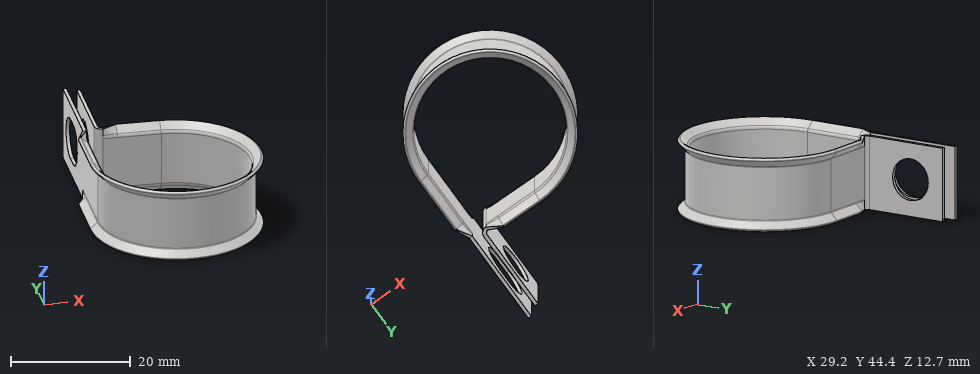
import cadquery as cq
import math


thickness = 0.65
strip_width = 12.7
bore_radius = 12.7
loop_start = 180
loop_sweep = 270
flare_radius = 14.615
flare_angle = math.radians(45)
root_radius = 0.2
lip_rounding = 0.1

transition_length = 2.5
long_tab_start = 12.7
flat_start = -9.95

long_tab_end = 29.745
short_tab_end = 28.65
tab_gap = 1.5

hole_diameter = 7.14
hole_y = 22.2
slot_length = 9.55

outer_radius = bore_radius + thickness
half_width = strip_width / 2
long_flare_end = long_tab_start - transition_length
short_flare_end = flat_start + transition_length
short_tab_x = -bore_radius + tab_gap
bend_outer_radius = flat_start - short_tab_x
bend_inner_radius = bend_outer_radius - thickness


def shifted(point, angle, distance):
    return (point[0] + distance * math.cos(angle), point[1] + distance * math.sin(angle))


inward = math.pi - flare_angle
lip_direction = math.pi / 2 - flare_angle
outward = -flare_angle

center_spacing = thickness - 2 * lip_rounding
tip_center = (
    flare_radius - lip_rounding,
    half_width - lip_rounding - center_spacing * math.sin(inward),
)
top_center = shifted(tip_center, inward, center_spacing)
bend_x = outer_radius + root_radius
lip_reach = (tip_center[0] - bend_x) * math.cos(flare_angle)
bend_drop = (lip_rounding + root_radius + lip_reach) / math.sin(flare_angle)
flare_start_z = tip_center[1] - bend_drop
bend_center = (bend_x, flare_start_z)


def add_arc(outline, center, radius, start_angle, end_angle):
    """Line to the start of an arc about center, then follow the arc."""
    middle_angle = (start_angle + end_angle) / 2
    return outline.lineTo(*shifted(center, start_angle, radius)).threePointArc(
        shifted(center, middle_angle, radius), shifted(center, end_angle, radius)
    )


def rim_profile(workplane):
    """Flared edge: a bend, then a straight lip with rounded corners."""
    outline = workplane.moveTo(outer_radius, flare_start_z)
    outline = add_arc(outline, bend_center, root_radius + thickness, math.pi, inward)
    outline = add_arc(outline, top_center, lip_rounding, inward, lip_direction)
    outline = add_arc(outline, tip_center, lip_rounding, lip_direction, outward)
    outline = outline.lineTo(*shifted(bend_center, inward, root_radius))
    outline = outline.threePointArc(
        shifted(bend_center, (inward + math.pi) / 2, root_radius), (outer_radius, flare_start_z)
    )
    return outline.close()


def flat_profile(workplane):
    """Unflared edge, split into as many pieces as the flared one."""
    inner_bend_end = shifted(bend_center, inward, root_radius + thickness)
    outer_bend_end = shifted(bend_center, inward, root_radius)
    return (
        workplane.moveTo(outer_radius, flare_start_z)
        .lineTo(bore_radius, flare_start_z)
        .lineTo(bore_radius, inner_bend_end[1])
        .lineTo(bore_radius, half_width - lip_rounding)
        .lineTo(bore_radius, half_width)
        .lineTo(outer_radius, half_width)
        .lineTo(outer_radius, half_width - lip_rounding)
        .lineTo(outer_radius, outer_bend_end[1])
        .close()
    )


def straight_rim(flare_end, flat_position):
    """Rim along +Y: full flare up to flare_end, fading to flat at flat_position.

    The profile lies at positive X.
    """
    section = cq.Workplane("XZ")
    flared = rim_profile(section).extrude(-flare_end)
    fade_start = section.workplane(offset=-flare_end)
    fade = flat_profile(
        rim_profile(fade_start).workplane(offset=flare_end - flat_position)
    ).loft(ruled=True)
    return flared.union(fade)


def both_edges(upper):
    return upper.union(upper.mirror("XY"))


def block(x_min, x_max, y_min, y_max, half_height):
    """Box between two corners, symmetric about Z = 0."""
    size = (x_max - x_min, y_max - y_min, 2 * half_height)
    return cq.Workplane("XY").box(*size, centered=(False, False, True)).translate((x_min, y_min, 0))


def loop():
    """Three quarters of a turn, from -X through -Y and +X to +Y."""
    section = cq.Workplane("XZ")
    rims = both_edges(rim_profile(section).revolve(loop_sweep, (0, 0, 0), (0, 1, 0)))
    web = (
        section.pushPoints([(bore_radius + thickness / 2, 0)])
        .rect(thickness, 2 * flare_start_z)
        .revolve(loop_sweep, (0, 0, 0), (0, 1, 0))
    )
    return rims.union(web).rotate((0, 0, 0), (0, 0, 1), loop_start)


def long_side():
    """Straight run up the -X side, ending in the slotted tab."""
    rims = both_edges(straight_rim(long_flare_end, long_tab_start).mirror("YZ"))
    web = block(-outer_radius, -bore_radius, 0, long_tab_start, flare_start_z)
    tab = block(-outer_radius, -bore_radius, long_tab_start, long_tab_end, half_width)
    slot = (
        cq.Workplane("YZ", origin=(-bore_radius, hole_y, 0))
        .slot2D(slot_length, hole_diameter)
        .extrude(-thickness)
    )
    return rims.union(web).union(tab).cut(slot)


def short_side():
    """Straight run along the +Y side, bent up into the drilled tab."""
    rims = both_edges(
        straight_rim(-short_flare_end, -flat_start).rotate((0, 0, 0), (0, 0, 1), 90)
    )
    web = block(flat_start, 0, bore_radius, outer_radius, flare_start_z)
    bend_end_y = bore_radius + bend_outer_radius
    diagonal = math.radians(225)
    center = (flat_start, bend_end_y)
    tab = (
        cq.Workplane("XY")
        .workplane(offset=-half_width)
        .moveTo(flat_start, bore_radius)
        .threePointArc(shifted(center, diagonal, bend_outer_radius), (short_tab_x, bend_end_y))
        .lineTo(short_tab_x, short_tab_end)
        .lineTo(short_tab_x + thickness, short_tab_end)
        .lineTo(short_tab_x + thickness, bend_end_y)
        .threePointArc(shifted(center, diagonal, bend_inner_radius), (flat_start, outer_radius))
        .close()
        .extrude(strip_width)
    )
    hole = (
        cq.Workplane("YZ", origin=(short_tab_x, hole_y, 0))
        .circle(hole_diameter / 2)
        .extrude(thickness)
    )
    return rims.union(web).union(tab).cut(hole)


result = loop().union(long_side()).union(short_side())